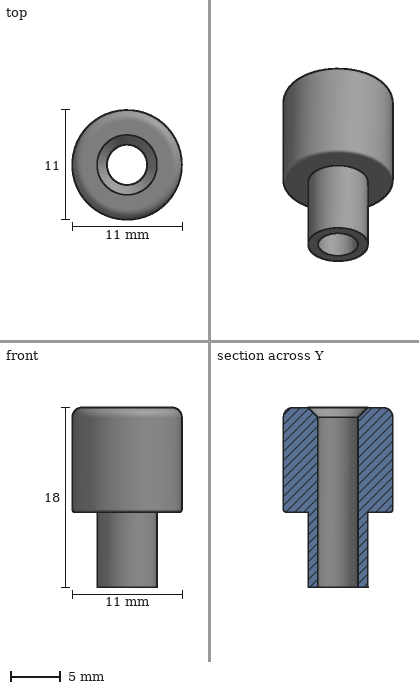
import cadquery as cq

head_diameter = 11.0
head_height = 10.5
top_edge_radius = 1.0
bottom_edge_radius = 0.3

shank_diameter = 6.0
shank_length = 7.5

bore_diameter = 4.0
countersink_diameter = 6.0
countersink_angle = 90.0


def make_head():
    """Cylinder resting on the XY plane, rounded at its top and bottom rims."""
    head = cq.Workplane("XY").circle(head_diameter / 2).extrude(head_height)
    head = head.faces(">Z").edges().fillet(top_edge_radius)
    return head.faces("<Z").edges().fillet(bottom_edge_radius)


def add_shank(body):
    """Plain pin hanging from the underside of the head."""
    shank = cq.Workplane("XY").circle(shank_diameter / 2).extrude(-shank_length)
    return body.union(shank)


def cut_countersunk_bore(body):
    """Axial hole through head and shank, widened at the top."""
    top_face = body.faces(">Z").workplane()
    return top_face.cskHole(bore_diameter, countersink_diameter, countersink_angle)


result = cut_countersunk_bore(add_shank(make_head()))